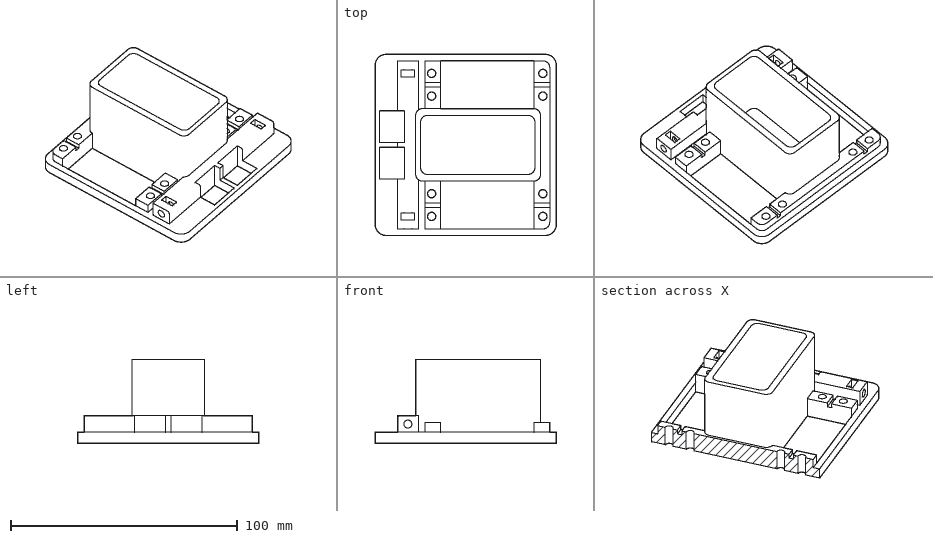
import cadquery as cq

plate_size = 80
plate_height = 5.0
plate_corner_radius = 5.0

border = 3.0
frame_left = -18.0
frame_right = plate_size / 2 - border
frame_half_depth = plate_size / 2 - border
frame_corner_radius = 3.0

tower_left = -22.1
tower_right = 33.0
tower_depth = 32
tower_top = 37.0
tower_corner_diameter = 6.0
tower_corner_radius = tower_corner_diameter / 2
cavity_left = -19.9
cavity_right = 30.5
cavity_depth = 26.0
floor_thickness = 1.0

strip_width = 7.0
strip_height = 4.2
strip_hole_diameter = 3.5
left_hole_x = -15.0
right_hole_x = 34.0
inner_hole_y = 21.5
outer_hole_y = 31.5
groove_width = 2.0
groove_depth = 2.0
groove_y = (inner_hole_y + outer_hole_y) / 2

rail_left = -30.0
rail_right = -20.8
rail_length = 2 * frame_half_depth
rail_height = 7.2
rail_edge_radius = 1.0

screw_hole_diameter = 3.5
screw_x = -25.5
screw_z = plate_height + 3.5
nut_width = 6.0
nut_thickness = 3.0
nut_pocket_depth = 6.6
nut_y = outer_hole_y
screw_hole_depth = 8

window_left = -38.0
window_right = -27.0
window_depth = 13.8
window_gap = 2.2


def box(left, right, depth, bottom, top, center_y=0):
    """Box between two X positions and two heights, centred on center_y."""
    center = ((left + right) / 2, center_y, (bottom + top) / 2)
    return cq.Workplane("XY").box(right - left, depth, top - bottom).translate(center)


def make_plate():
    half = plate_size / 2
    plate = box(-half, half, plate_size, 0, plate_height).edges("|Z").fillet(plate_corner_radius)
    opening = box(frame_left + strip_width, frame_right - strip_width, 2 * frame_half_depth, 0, plate_height)
    return plate.cut(opening)


def make_strips():
    """Left and right strips, with cross grooves between the holes of each pair."""
    top = plate_height + strip_height
    depth = 2 * frame_half_depth
    left = box(frame_left, frame_left + strip_width, depth, plate_height, top)
    right = box(frame_right - strip_width, frame_right, depth, plate_height, top)
    right = right.edges("|Z and >X").fillet(frame_corner_radius)
    strips = left.union(right)
    for side in (-1, 1):
        groove = box(frame_left, frame_right, groove_width, top - groove_depth, top, side * groove_y)
        strips = strips.cut(groove)
    return strips


def make_rail():
    rail = box(rail_left, rail_right, rail_length, plate_height, plate_height + rail_height)
    rail = rail.edges("|Y and >Z and <X").fillet(rail_edge_radius)
    divider = box(rail_left, window_right, window_gap, plate_height, plate_height + rail_height)
    return rail.union(divider)


def make_tower():
    tower = box(tower_left, tower_right, tower_depth, 0, tower_top)
    return tower.edges("|Z").fillet(tower_corner_radius)


def make_cavity():
    cavity = box(cavity_left, cavity_right, cavity_depth, floor_thickness, tower_top)
    return cavity.edges("|Z").fillet(tower_corner_radius)


def make_strip_holes():
    points = [
        (x, side * y)
        for x in (left_hole_x, right_hole_x)
        for y in (inner_hole_y, outer_hole_y)
        for side in (-1, 1)
    ]
    return (
        cq.Workplane("XY")
        .pushPoints(points)
        .circle(strip_hole_diameter / 2)
        .extrude(plate_height + strip_height)
    )


def make_windows():
    offset = (window_gap + window_depth) / 2
    top = plate_height + rail_height
    front = box(window_left, window_right, window_depth, 0, top, -offset)
    return front.union(front.mirror("XZ"))


def make_screw_seats():
    """Screw hole and nut pocket at each end of the rail."""
    top = plate_height + rail_height
    hole = (
        cq.Workplane("XZ", origin=(screw_x, -rail_length / 2, screw_z))
        .circle(screw_hole_diameter / 2)
        .extrude(-screw_hole_depth)
    )
    nut_left = screw_x - nut_width / 2
    nut_right = screw_x + nut_width / 2
    pocket = box(nut_left, nut_right, nut_thickness, top - nut_pocket_depth, top, -nut_y)
    front = hole.union(pocket)
    return front.union(front.mirror("XZ"))


result = (
    make_plate()
    .union(make_strips())
    .union(make_rail())
    .cut(make_screw_seats())
    .cut(make_windows())
    .union(make_tower())
    .cut(make_cavity())
    .cut(make_strip_holes())
)